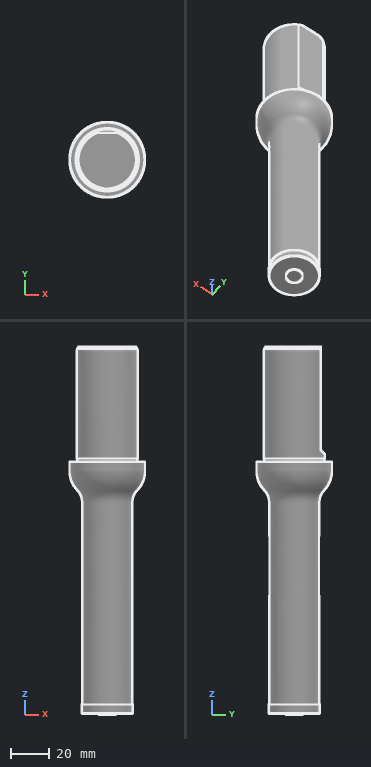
import cadquery as cq

total_length = 192.0
tip_boss_height = 0.5
head_top = 5.5
taper_bottom = 60.3
taper_top = 106.2
bowl_bottom = 110.8
bowl_top = 127.0
flange_top = 132.0
relief_height = 1.5
face_recess_depth = 0.4

tip_boss_diameter = 8.8
head_diameter = 26.7
body_diameter = 26.1
neck_diameter = 26.3
flange_diameter = 39.5
relief_diameter = 31.5
face_recess_diameter = 33.0
shank_diameter = 32.0

head_chamfer = 0.4
flange_chamfer = 0.4
shank_lead_in_bottom = 189.3
shank_lead_in_top = 190.8
shank_lead_in_diameter = 31.5
shank_end_diameter = 30.0

bowl_convex_radius = 13.8

flat_offset = 13.8
flat_bottom = 138.0


def make_cutting_head():
    """Short cylindrical head with a small centre boss at the tip."""
    boss = cq.Workplane("XY").circle(tip_boss_diameter / 2).extrude(tip_boss_height)
    rim = (
        cq.Workplane("XY")
        .workplane(offset=tip_boss_height)
        .circle(head_diameter / 2)
        .extrude(head_top - tip_boss_height)
        .faces("<Z")
        .chamfer(head_chamfer)
    )
    return rim.union(boss)


def bowl_join():
    """Radius and height of the point where the two bowl arcs meet.

    Both arcs are vertical at their outer ends, so their centres lie level with
    those ends and are one radius sum apart.
    """
    radial_step = (flange_diameter - neck_diameter) / 2
    bowl_height = bowl_top - bowl_bottom
    radius_sum = (bowl_height**2 + radial_step**2) / (2 * radial_step)
    convex_share = bowl_convex_radius / radius_sum
    join_radius = flange_diameter / 2 - convex_share * radial_step
    join_height = bowl_top - convex_share * bowl_height
    return join_radius, join_height


def make_turned_holder():
    """Revolved tapering body, bowl, flange, relief groove and shank."""
    body_radius = body_diameter / 2
    neck_radius = neck_diameter / 2
    flange_radius = flange_diameter / 2
    relief_radius = relief_diameter / 2
    shank_radius = shank_diameter / 2
    relief_top = flange_top + relief_height
    face_recess_radius = face_recess_diameter / 2
    face_recess_bottom = flange_top - face_recess_depth
    return (
        cq.Workplane("XZ")
        .moveTo(0, head_top)
        .lineTo(body_radius, head_top)
        .lineTo(body_radius, taper_bottom)
        .lineTo(neck_radius, taper_top)
        .lineTo(neck_radius, bowl_bottom)
        .tangentArcPoint(bowl_join(), relative=False)
        .tangentArcPoint((flange_radius, bowl_top), relative=False)
        .lineTo(flange_radius, flange_top - flange_chamfer)
        .lineTo(flange_radius - flange_chamfer, flange_top)
        .lineTo(face_recess_radius, flange_top)
        .lineTo(face_recess_radius, face_recess_bottom)
        .lineTo(relief_radius, face_recess_bottom)
        .lineTo(relief_radius, relief_top)
        .lineTo(shank_radius, relief_top)
        .lineTo(shank_radius, shank_lead_in_bottom)
        .lineTo(shank_lead_in_diameter / 2, shank_lead_in_top)
        .lineTo(shank_end_diameter / 2, total_length)
        .lineTo(0, total_length)
        .close()
        .revolve(360, (0, 0, 0), (0, 1, 0))
    )


def make_flat_cutter():
    """Material beyond the clamping flat, with a 45 degree lower end."""
    cutter_depth = shank_diameter / 2 - flat_offset
    outer_offset = shank_diameter / 2
    return (
        cq.Workplane("YZ")
        .moveTo(flat_offset, total_length)
        .lineTo(flat_offset, flat_bottom)
        .lineTo(outer_offset, flat_bottom - cutter_depth)
        .lineTo(outer_offset, total_length)
        .close()
        .extrude(shank_diameter / 2, both=True)
    )


cutting_head = make_cutting_head()
holder = make_turned_holder().cut(make_flat_cutter())

result = cq.Compound.makeCompound([cutting_head.val(), holder.val()])